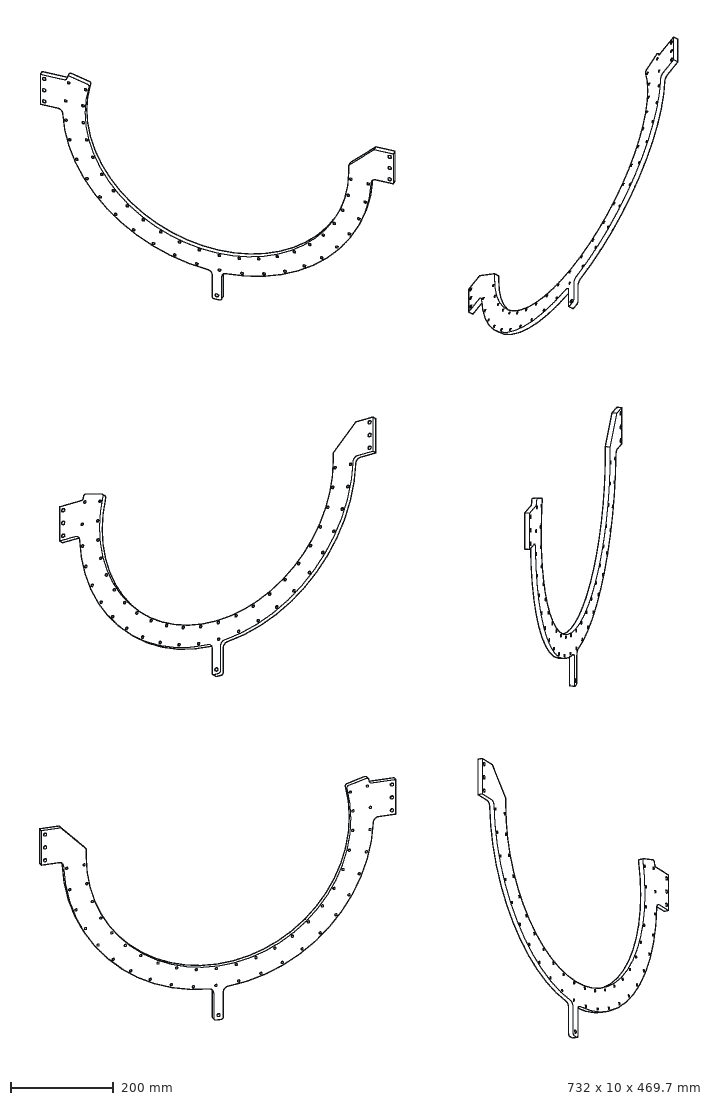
import cadquery as cq
import math

thickness = 10.0
overall_width = 732.0
overall_height = 469.68

inner_radius = 273.0
outer_radius = 320.0
end_rise_angle = 15.0
end_corner_radius = 5.0
raised_joint_radius = 5.0
plate_joint_radius = 10.0
tab_joint_radius = 10.0

plate_bottom = -4.0
plate_top = 70.0
plate_edge = overall_width / 2
chamfer_start = 17.0
plate_hole_diameter = 6.5
plate_hole_inset = 8.0
plate_hole_margin = 9.5
plate_hole_count = 3

hole_chamfer = 0.5

tab_width = 20.0
tab_corner_radius = 5.0
tab_hole_diameter = 6.5
tab_hole_margin = 10.0

row_spacing = 36.0
row_middle_radius = 296.0
ring_hole_diameter = 4.5
ring_hole_count = 23
ring_hole_pitch = 360.0 / 42
first_ring_hole_angle = 168.12

mid_radius = (inner_radius + outer_radius) / 2
corner_centre_radius = outer_radius - end_corner_radius
corner_centre_angle = math.radians(end_rise_angle) - math.asin(end_corner_radius / corner_centre_radius)
part_top = corner_centre_radius * math.sin(corner_centre_angle) + end_corner_radius
tab_bottom = part_top - overall_height


def polar(radius, angle):
    """Point in the XZ plane at an angle in degrees from +X towards +Z."""
    return radius * math.cos(math.radians(angle)), radius * math.sin(math.radians(angle))


def front_plane():
    """XZ sketch plane on the front face; extruding by a negative length goes towards +Y."""
    return cq.Workplane("XZ", origin=(0, -thickness / 2, 0))


def round_edge(body, x, z, radius):
    """Round the through-thickness edge nearest to (x, z)."""
    nearest = cq.selectors.NearestToPointSelector((x, 0, z))
    return body.newObject(body.edges("|Y").edges(nearest).vals()).fillet(radius)


def half_ring():
    raised_end = 180 - end_rise_angle
    middle = (raised_end + 360) / 2
    return (
        front_plane()
        .moveTo(*polar(outer_radius, raised_end))
        .threePointArc(polar(outer_radius, middle), (outer_radius, 0))
        .lineTo(inner_radius, 0)
        .threePointArc(polar(inner_radius, middle), polar(inner_radius, raised_end))
        .close()
        .extrude(-thickness)
    )


def left_plate():
    points = [
        (-plate_edge, plate_bottom),
        (-mid_radius, plate_bottom),
        (-mid_radius, plate_top),
        (-plate_edge, plate_top),
    ]
    return front_plane().polyline(points).close().extrude(-thickness)


def right_plate():
    slope_run = plate_top - chamfer_start
    points = [
        (mid_radius, plate_bottom),
        (plate_edge, plate_bottom),
        (plate_edge, plate_top),
        (inner_radius + slope_run, plate_top),
        (inner_radius, chamfer_start),
        (inner_radius, 0),
        (mid_radius, 0),
    ]
    return front_plane().polyline(points).close().extrude(-thickness)


def tab():
    height = -mid_radius - tab_bottom
    body = (
        front_plane()
        .center(0, tab_bottom + height / 2)
        .rect(tab_width, height)
        .extrude(-thickness)
    )
    return body.edges("|Y and <Z").fillet(tab_corner_radius)


def round_corners(body):
    for radius in (inner_radius, outer_radius):
        body = round_edge(body, *polar(radius, 180 - end_rise_angle), end_corner_radius)
    raised_joint_x = -math.sqrt(outer_radius**2 - plate_top**2)
    body = round_edge(body, raised_joint_x, plate_top, raised_joint_radius)
    plate_joint_x = math.sqrt(outer_radius**2 - plate_bottom**2)
    tab_joint_z = -math.sqrt(outer_radius**2 - (tab_width / 2) ** 2)
    for side in (-1, 1):
        body = round_edge(body, side * plate_joint_x, plate_bottom, plate_joint_radius)
        body = round_edge(body, side * tab_width / 2, tab_joint_z, tab_joint_radius)
    return body


def countersunk_hole(x, z, diameter):
    """Cutter for a through hole with its rim on the front face chamfered at 45 degrees."""
    radius = diameter / 2
    start = cq.Vector(x, -thickness / 2, z)
    along_y = cq.Vector(0, 1, 0)
    bore = cq.Solid.makeCylinder(radius, thickness, start, along_y)
    rim = cq.Solid.makeCone(radius + hole_chamfer, radius, hole_chamfer, start, along_y)
    return bore.fuse(rim)


def drill(body, points, diameter):
    cutters = [countersunk_hole(x, z, diameter) for x, z in points]
    return body.cut(cq.Workplane(cq.Compound.makeCompound(cutters)))


def plate_hole_points():
    lowest = plate_bottom + plate_hole_margin
    step = (plate_top - plate_bottom - 2 * plate_hole_margin) / (plate_hole_count - 1)
    x = plate_edge - plate_hole_inset
    return [(side * x, lowest + i * step) for side in (-1, 1) for i in range(plate_hole_count)]


def ring_hole_points():
    rows = (row_middle_radius - row_spacing / 2, row_middle_radius + row_spacing / 2)
    angles = [first_ring_hole_angle + i * ring_hole_pitch for i in range(ring_hole_count)]
    return [polar(radius, angle) for radius in rows for angle in angles]


result = half_ring().union(left_plate()).union(right_plate()).union(tab())
result = round_corners(result)
result = drill(result, plate_hole_points(), plate_hole_diameter)
result = drill(result, [(0, tab_bottom + tab_hole_margin)], tab_hole_diameter)
result = drill(result, ring_hole_points(), ring_hole_diameter)